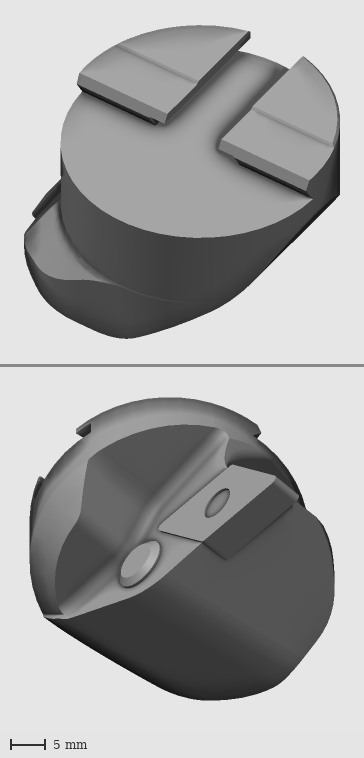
import cadquery as cq
import math

disc_radius = 20.0
disc_bottom_z = -12.6
key_top_z = 4.67
key_land_z = 4.27
land_step_y = 6.0
front_land_y = -1.5
front_nose_y = -2.3
front_nose_z = 2.75
front_root_y = -0.7
rim_chamfer = key_top_z - key_land_z
slot_width = 9.34
slot_undercut_width = 14.6
slot_undercut_height = 2.9

base_z = -23.83
wall_radius = 20.02
flare_half_angle = math.radians(32)
flare_blend_radius = 2.0
front_arc_center = (-8.2, -6.0)
front_arc_radius = wall_radius + front_arc_center[1]
flank_angle = math.radians(38)
flank_length = 2.4
side_arc_radius = 21.0
carrier_back_y = 8.0

relief_start_z = -3.28
upper_relief_angle = math.radians(64)
relief_corner_x = 15.6
upper_relief_blend = 15.0
lower_relief_angle = math.radians(35.3)
lower_relief_blend = 12.5

axial_rake = math.radians(6.4)
radial_rake = math.radians(10.4)
seat_x = math.sin(radial_rake)
seat_z = math.sin(axial_rake)
seat_y = -math.sqrt(1 - seat_x**2 - seat_z**2)
nose_center = (-26.08, 0.2, -24.53)
tool_plane = cq.Plane(origin=nose_center, xDir=(-seat_y, seat_x, 0), normal=(seat_x, seat_y, seat_z))
tool_location = cq.Location(tool_plane)
reach = 60.0

insert_circle = 12.7
insert_angle = 55.0
insert_thickness = 4.76
insert_nose_radius = 0.8
insert_hole_diameter = 5.16
insert_lead_angle = 3.0
face_setback = 0.4

scoop_radius = 8.0
scoop_center = (0.2, 15.2)
roof_corner = (21.7, 18.55)
roof_fall_angle = math.radians(13)
roof_corner_radius = 5.0
ceiling_corner = (27.8, 12.55)
ceiling_corner_radius = 3.2
floor_fillet = 1.8
back_cone_top_z = -8.2
back_cone_half_angle = math.radians(39.4)

screw_center = (25.8, 8.0)
screw_diameter = 8.0
screw_height = 1.2
screw_chamfer_height = 0.8
screw_chamfer_width = 1.0


def in_tool_frame(local):
    """Place a shape modelled in tool coordinates into the part."""
    return cq.Workplane(local.val().moved(tool_location))


def flared_blank():
    """Disc up to the key tops, running down through a concave blend into a flared skirt."""
    blend_start = (disc_radius, disc_bottom_z)
    blend_middle = (
        disc_radius + flare_blend_radius * (1 - math.cos(flare_half_angle / 2)),
        disc_bottom_z - flare_blend_radius * math.sin(flare_half_angle / 2),
    )
    blend_end = (
        disc_radius + flare_blend_radius * (1 - math.cos(flare_half_angle)),
        disc_bottom_z - flare_blend_radius * math.sin(flare_half_angle),
    )
    base_radius = blend_end[0] + (blend_end[1] - base_z) * math.tan(flare_half_angle)
    return (
        cq.Workplane("XZ")
        .moveTo(0, key_top_z)
        .lineTo(disc_radius - rim_chamfer, key_top_z)
        .lineTo(disc_radius, key_land_z)
        .lineTo(*blend_start)
        .threePointArc(blend_middle, blend_end)
        .lineTo(base_radius, base_z)
        .lineTo(0, base_z)
        .close()
        .revolve(360, (0, 0), (0, 1))
    )


def carrier_wall():
    """Upright wall outline: a round disc with a lobe reaching out to the insert."""
    height = key_top_z - base_z

    def front_arc_point(angle):
        return (
            front_arc_center[0] - front_arc_radius * math.sin(angle),
            front_arc_center[1] - front_arc_radius * math.cos(angle),
        )

    flank_start = front_arc_point(flank_angle)
    flank_end = (
        flank_start[0] - flank_length * math.cos(flank_angle),
        flank_start[1] + flank_length * math.sin(flank_angle),
    )
    side_center = (
        flank_end[0] + side_arc_radius * math.sin(flank_angle),
        flank_end[1] + side_arc_radius * math.cos(flank_angle),
    )
    side_middle_angle = (flank_angle + math.pi / 2) / 2
    side_middle = (
        side_center[0] - side_arc_radius * math.sin(side_middle_angle),
        side_center[1] - side_arc_radius * math.cos(side_middle_angle),
    )
    side_end = (side_center[0] - side_arc_radius, side_center[1])
    lobe = (
        cq.Workplane("XY", origin=(0, 0, base_z))
        .lineTo(0, -wall_radius)
        .lineTo(front_arc_center[0], -wall_radius)
        .threePointArc(front_arc_point(flank_angle / 2), flank_start)
        .lineTo(*flank_end)
        .threePointArc(side_middle, side_end)
        .lineTo(side_end[0], carrier_back_y)
        .lineTo(0, carrier_back_y)
        .close()
        .extrude(height)
    )
    core = cq.Workplane("XY", origin=(0, 0, base_z)).circle(wall_radius).extrude(height)
    return core.union(lobe)


def relief_envelope():
    """Space kept by the relief that sweeps from the +X side down to the base."""
    right_x = disc_radius + 1
    left_x = -2 * disc_radius
    corner_z = relief_start_z - (disc_radius - relief_corner_x) * math.tan(upper_relief_angle)
    right_z = corner_z + (right_x - relief_corner_x) * math.tan(upper_relief_angle)
    foot_x = relief_corner_x - (corner_z - base_z) / math.tan(lower_relief_angle)
    envelope = (
        cq.Workplane("XZ")
        .moveTo(left_x, key_top_z)
        .lineTo(right_x, key_top_z)
        .lineTo(right_x, right_z)
        .lineTo(relief_corner_x, corner_z)
        .lineTo(foot_x, base_z)
        .lineTo(left_x, base_z)
        .close()
        .extrude(reach, both=True)
    )
    upper_corner = cq.selectors.NearestToPointSelector((relief_corner_x, 0, corner_z))
    envelope = envelope.edges(upper_corner).fillet(upper_relief_blend)
    lower_corner = cq.selectors.NearestToPointSelector((foot_x, 0, base_z))
    return envelope.edges(lower_corner).fillet(lower_relief_blend)


def key_clearance():
    """Space above the seating face, around two stepped dovetail keys and their T-slot."""
    back_y = disc_radius + 1
    bar = (
        cq.Workplane("YZ")
        .polyline([
            (front_root_y, 0),
            (front_nose_y, front_nose_z),
            (front_land_y, key_land_z),
            (land_step_y, key_land_z),
            (land_step_y + rim_chamfer, key_top_z),
            (back_y, key_top_z),
            (back_y, 0),
        ])
        .close()
        .extrude(back_y, both=True)
    )
    slot = cq.Workplane("XY").box(slot_width, reach, key_top_z, centered=(True, True, False))
    undercut = cq.Workplane("XY").box(
        slot_undercut_width, reach, slot_undercut_height, centered=(True, True, False)
    )
    block = cq.Workplane("XY").box(reach, reach, key_top_z, centered=(True, True, False))
    return block.cut(bar).union(slot).union(undercut)


def chip_pocket():
    """Open pocket in front of the rake face, with a blended roof and floor."""
    left = -reach / 2
    roof_left_y = roof_corner[1] + (roof_corner[0] - left) * math.tan(roof_fall_angle)
    pocket = (
        cq.Workplane("XY", origin=(0, 0, face_setback))
        .moveTo(left, -reach / 2)
        .lineTo(left, roof_left_y)
        .lineTo(*roof_corner)
        .lineTo(*ceiling_corner)
        .lineTo(reach, ceiling_corner[1])
        .lineTo(reach, -reach / 2)
        .close()
        .extrude(-reach)
    )
    middle = -reach / 2
    roof_edge = cq.selectors.NearestToPointSelector((*roof_corner, middle))
    pocket = pocket.edges(roof_edge).fillet(roof_corner_radius)
    ceiling_edge = cq.selectors.NearestToPointSelector((*ceiling_corner, middle))
    pocket = pocket.edges(ceiling_edge).fillet(ceiling_corner_radius)
    roof_middle = ((left + roof_corner[0]) / 2, (roof_left_y + roof_corner[1]) / 2, face_setback)
    pocket = pocket.edges(cq.selectors.NearestToPointSelector(roof_middle)).fillet(floor_fillet)
    return in_tool_frame(pocket)


def back_cone_ring():
    """Material outside the tapered underside of the disc, on the chip side only."""
    taper_depth = back_cone_top_z - base_z
    base_radius = disc_radius - taper_depth * math.tan(back_cone_half_angle)
    ring = (
        cq.Workplane("XZ")
        .polyline([
            (disc_radius, back_cone_top_z),
            (2 * disc_radius, back_cone_top_z),
            (2 * disc_radius, base_z),
            (base_radius, base_z),
        ])
        .close()
        .revolve(360, (0, 0), (0, 1))
    )
    chip_side = cq.Workplane("XY").rect(3 * reach, 3 * reach).extrude(-reach)
    return ring.intersect(in_tool_frame(chip_side))


def flank_cut():
    """Round scoop in the -X side, running tangent into the flat flank beside the insert."""
    edge_angle = math.radians(insert_lead_angle + insert_angle)
    along = (math.cos(edge_angle), math.sin(edge_angle))
    tangent_point = (
        scoop_center[0] + scoop_radius * along[1],
        scoop_center[1] - scoop_radius * along[0],
    )
    scoop = cq.Workplane("XY").center(*scoop_center).circle(scoop_radius).extrude(reach, both=True)
    flank = (
        cq.Workplane("XY")
        .moveTo(*tangent_point)
        .lineTo(*scoop_center)
        .lineTo(scoop_center[0] - reach * along[0], scoop_center[1] - reach * along[1])
        .lineTo(tangent_point[0] - reach * along[0], tangent_point[1] - reach * along[1])
        .close()
        .extrude(reach, both=True)
    )
    return in_tool_frame(scoop.union(flank))


def screw_head():
    """Chamfered round head proud of the carrier face."""
    head = (
        cq.Workplane("XY", origin=(*screw_center, face_setback))
        .circle(screw_diameter / 2)
        .extrude(-screw_height)
        .faces("<Z")
        .edges()
        .chamfer(screw_chamfer_height, screw_chamfer_width)
    )
    return in_tool_frame(head)


def cutting_insert():
    """Rounded rhombic plate with a central through hole."""
    sharp_angle = math.radians(insert_angle)
    lead = math.radians(insert_lead_angle)
    side = insert_circle / math.sin(sharp_angle)
    tip_distance = insert_nose_radius / math.sin(sharp_angle / 2)
    bisector = lead + sharp_angle / 2
    tip = (-tip_distance * math.cos(bisector), -tip_distance * math.sin(bisector))
    lower = (side * math.cos(lead), side * math.sin(lead))
    upper = (side * math.cos(lead + sharp_angle), side * math.sin(lead + sharp_angle))
    plate = (
        cq.Workplane("XY")
        .polyline([
            tip,
            (tip[0] + lower[0], tip[1] + lower[1]),
            (tip[0] + lower[0] + upper[0], tip[1] + lower[1] + upper[1]),
            (tip[0] + upper[0], tip[1] + upper[1]),
        ])
        .close()
        .extrude(insert_thickness)
        .edges("|Z")
        .fillet(insert_nose_radius)
        .faces("<Z")
        .workplane(centerOption="CenterOfMass")
        .hole(insert_hole_diameter)
    )
    return in_tool_frame(plate)


def cutter_head(insert):
    """Coupling disc, keys and carrier as one body, seating the insert and filling its hole with a pin."""
    head = flared_blank().intersect(carrier_wall()).intersect(relief_envelope())
    head = head.cut(key_clearance())
    head = head.cut(chip_pocket()).cut(back_cone_ring()).cut(flank_cut())
    head = head.union(screw_head())
    return head.cut(insert)


insert = cutting_insert()
head = cutter_head(insert)

result = cq.Compound.makeCompound([*head.solids().vals(), *insert.solids().vals()])